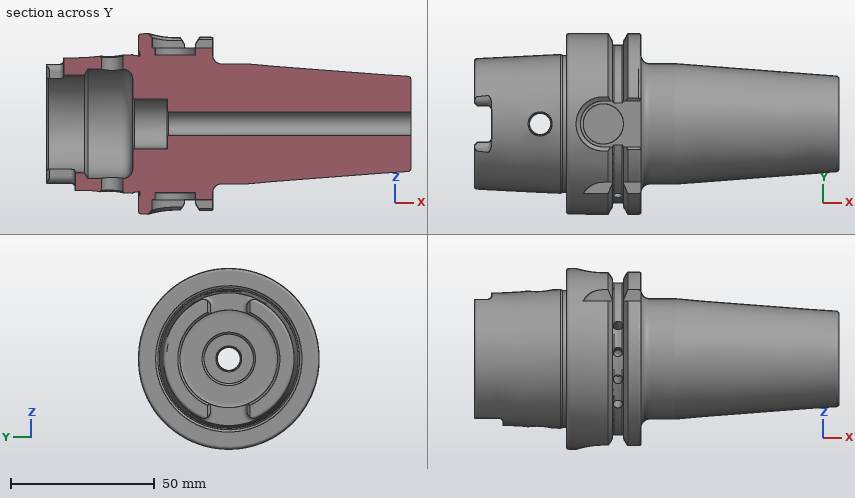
import cadquery as cq
import math


SHANK_LENGTH = 32.0
SHANK_TAPER = 1 / 9.98
GAUGE_RADIUS = 24.0
GAUGE_X = -6.3
TAPER_END_X = -2.1
RELIEF_RADIUS = 23.9
RELIEF_START_X = -1.3
RELIEF_END_X = -0.5
RECESS_DEPTH = 0.5
RECESS_INNER_RADIUS = 23.6
RECESS_FLOOR_RADIUS = 24.7
RECESS_MOUTH_RADIUS = 25.5
SHANK_END_FILLET = 1.0

FLANGE_RADIUS = 31.5
FLANGE_WIDTH = 26.0
FLANGE_FRONT_FILLET = 1.0
FLANGE_BACK_FILLET = 0.8
GROOVE_X = 18.0
GROOVE_RADIUS = 27.5
GROOVE_TOP_HALF = 3.45
GROOVE_WALL_HALF = 1.9
GROOVE_CONE_ANGLE = 30.0
GROOVE_FLOOR_FILLET = 0.5

NECK_RADIUS = 21.0
NECK_FILLET = 3.0
NECK_END_X = 38.0
NOSE_END_X = 95.0
NOSE_END_RADIUS = 16.6
NOSE_END_FILLET = 1.0

BORE_RADIUS = 17.0
BORE_MOUTH_CHAMFER = 0.8
BORE_FLOOR_X = -2.0
BORE_FLOOR_FILLET = 3.4
CLAMP_START_X = -18.7
CLAMP_RADIUS = 19.0
CLAMP_ANGLE = 60.0
TUBE_SEAT_RADIUS = 8.6
TUBE_SEAT_CHAMFER = 0.7
TUBE_SEAT_DEPTH = 12.0
THROUGH_RADIUS = 4.0
THROUGH_CHAMFER = 0.5

SLOT_HALF_WIDTH = 6.3
SLOT_WALL_HEIGHT = 18.2
SLOT_SHOULDER_RADIUS = 2.5
SLOT_FLOOR_FILLET = 1.5
SLOT_MOUTH_CHAMFER = 1.1
TOP_SLOT_DEPTH = 6.0
BOTTOM_SLOT_DEPTH = 10.0

ACCESS_X = -9.1
ACCESS_RADIUS = 3.7
ACCESS_CHAMFER = 0.5

POCKET_X = 12.9
POCKET_RADIUS = 8.0
POCKET_FLOOR_Z = 26.5
POCKET_FRONT_CHAMFER = 1.5
POCKET_BACK_CHAMFER = 1.0
POCKET_DIMPLE_RADIUS = 7.0
POCKET_DIMPLE_DEPTH = 2.5

NOTCH_X = 12.8
NOTCH_WALL_Y = -20.3
NOTCH_FLOOR_Z = 20.1
NOTCH_RADIUS = 8.0

BALANCE_ANGLES = (25, 5, -15, -35)
BALANCE_RADIUS = 1.6
BALANCE_DEPTH = 10.0
DRILL_TIP_ANGLE = 118.0

CLEARANCE = 10.0

FILLET_MID = 1 - math.sqrt(0.5)


def taper_radius(x):
    return GAUGE_RADIUS + (x - GAUGE_X) * SHANK_TAPER / 2


def revolve_about_x(profile):
    return profile.close().revolve(360, (0, 0, 0), (1, 0, 0))


def outer_body():
    end_x = -SHANK_LENGTH
    rim_radius = taper_radius(end_x + SHANK_END_FILLET)
    nose_slope = (NECK_RADIUS - NOSE_END_RADIUS) / (NOSE_END_X - NECK_END_X)
    nose_edge_x = NOSE_END_X - NOSE_END_FILLET
    nose_edge_radius = NOSE_END_RADIUS + NOSE_END_FILLET * nose_slope
    flange_edge_x = FLANGE_WIDTH - FLANGE_BACK_FILLET
    neck_start_x = FLANGE_WIDTH + NECK_FILLET
    profile = (
        cq.Workplane("XY")
        .moveTo(end_x, 0)
        .lineTo(end_x, rim_radius - SHANK_END_FILLET)
        .threePointArc(
            (end_x + SHANK_END_FILLET * FILLET_MID, rim_radius - SHANK_END_FILLET * FILLET_MID),
            (end_x + SHANK_END_FILLET, rim_radius),
        )
        .lineTo(TAPER_END_X, taper_radius(TAPER_END_X))
        .lineTo(RELIEF_START_X, RELIEF_RADIUS)
        .lineTo(RELIEF_END_X, RELIEF_RADIUS)
        .lineTo(RECESS_DEPTH, RECESS_INNER_RADIUS)
        .lineTo(RECESS_DEPTH, RECESS_FLOOR_RADIUS)
        .lineTo(0, RECESS_MOUTH_RADIUS)
        .lineTo(0, FLANGE_RADIUS - FLANGE_FRONT_FILLET)
        .threePointArc(
            (FLANGE_FRONT_FILLET * FILLET_MID, FLANGE_RADIUS - FLANGE_FRONT_FILLET * FILLET_MID),
            (FLANGE_FRONT_FILLET, FLANGE_RADIUS),
        )
        .lineTo(flange_edge_x, FLANGE_RADIUS)
        .threePointArc(
            (FLANGE_WIDTH - FLANGE_BACK_FILLET * FILLET_MID, FLANGE_RADIUS - FLANGE_BACK_FILLET * FILLET_MID),
            (FLANGE_WIDTH, FLANGE_RADIUS - FLANGE_BACK_FILLET),
        )
        .lineTo(FLANGE_WIDTH, NECK_RADIUS + NECK_FILLET)
        .threePointArc(
            (FLANGE_WIDTH + NECK_FILLET * FILLET_MID, NECK_RADIUS + NECK_FILLET * FILLET_MID),
            (neck_start_x, NECK_RADIUS),
        )
        .lineTo(NECK_END_X, NECK_RADIUS)
        .lineTo(nose_edge_x, nose_edge_radius)
        .threePointArc(
            (NOSE_END_X - NOSE_END_FILLET * FILLET_MID, NOSE_END_RADIUS - NOSE_END_FILLET * FILLET_MID),
            (NOSE_END_X, NOSE_END_RADIUS - NOSE_END_FILLET),
        )
        .lineTo(NOSE_END_X, 0)
    )
    return revolve_about_x(profile)


def gripper_groove():
    """Ring cut into the flange rim: straight walls with rounded corners, conical flanks above."""
    slope = math.tan(math.radians(GROOVE_CONE_ANGLE))
    wall_top_radius = FLANGE_RADIUS - (GROOVE_TOP_HALF - GROOVE_WALL_HALF) / slope
    outer_half = GROOVE_TOP_HALF + CLEARANCE * slope
    floor_half = GROOVE_WALL_HALF - GROOVE_FLOOR_FILLET
    corner_half = GROOVE_WALL_HALF - GROOVE_FLOOR_FILLET * FILLET_MID
    corner_radius = GROOVE_RADIUS + GROOVE_FLOOR_FILLET * FILLET_MID
    fillet_top_radius = GROOVE_RADIUS + GROOVE_FLOOR_FILLET
    profile = (
        cq.Workplane("XY", origin=(GROOVE_X, 0, 0))
        .moveTo(-floor_half, GROOVE_RADIUS)
        .lineTo(floor_half, GROOVE_RADIUS)
        .threePointArc((corner_half, corner_radius), (GROOVE_WALL_HALF, fillet_top_radius))
        .lineTo(GROOVE_WALL_HALF, wall_top_radius)
        .lineTo(outer_half, FLANGE_RADIUS + CLEARANCE)
        .lineTo(-outer_half, FLANGE_RADIUS + CLEARANCE)
        .lineTo(-GROOVE_WALL_HALF, wall_top_radius)
        .lineTo(-GROOVE_WALL_HALF, fillet_top_radius)
        .threePointArc((-corner_half, corner_radius), (-floor_half, GROOVE_RADIUS))
    )
    return revolve_about_x(profile)


def inner_bores():
    """Clamping bore with undercut, coolant tube seat and through hole, as one cutter."""
    end_x = -SHANK_LENGTH
    clamp_end_x = CLAMP_START_X + (CLAMP_RADIUS - BORE_RADIUS) / math.tan(math.radians(CLAMP_ANGLE))
    floor_corner = BORE_FLOOR_FILLET * FILLET_MID
    seat_floor_x = BORE_FLOOR_X + TUBE_SEAT_DEPTH
    profile = (
        cq.Workplane("XY")
        .moveTo(end_x, 0)
        .lineTo(end_x, BORE_RADIUS + BORE_MOUTH_CHAMFER)
        .lineTo(end_x + BORE_MOUTH_CHAMFER, BORE_RADIUS)
        .lineTo(CLAMP_START_X, BORE_RADIUS)
        .lineTo(clamp_end_x, CLAMP_RADIUS)
        .lineTo(BORE_FLOOR_X - BORE_FLOOR_FILLET, CLAMP_RADIUS)
        .threePointArc(
            (BORE_FLOOR_X - floor_corner, CLAMP_RADIUS - floor_corner),
            (BORE_FLOOR_X, CLAMP_RADIUS - BORE_FLOOR_FILLET),
        )
        .lineTo(BORE_FLOOR_X, TUBE_SEAT_RADIUS + TUBE_SEAT_CHAMFER)
        .lineTo(BORE_FLOOR_X + TUBE_SEAT_CHAMFER, TUBE_SEAT_RADIUS)
        .lineTo(seat_floor_x, TUBE_SEAT_RADIUS)
        .lineTo(seat_floor_x, THROUGH_RADIUS + THROUGH_CHAMFER)
        .lineTo(seat_floor_x + THROUGH_CHAMFER, THROUGH_RADIUS)
        .lineTo(NOSE_END_X, THROUGH_RADIUS)
        .lineTo(NOSE_END_X, 0)
    )
    return revolve_about_x(profile)


def plain_slot(depth):
    """Slot on the +Z side of the shank end, opening above its walls to a flat shoulder."""
    shoulder_y = SLOT_HALF_WIDTH + SLOT_SHOULDER_RADIUS
    shoulder_z = SLOT_WALL_HEIGHT + SLOT_SHOULDER_RADIUS
    arc_mid_y = SLOT_HALF_WIDTH + SLOT_SHOULDER_RADIUS * FILLET_MID
    arc_mid_z = SLOT_WALL_HEIGHT + SLOT_SHOULDER_RADIUS * math.sqrt(0.5)
    return (
        cq.Workplane("YZ", origin=(-SHANK_LENGTH, 0, 0))
        .moveTo(-SLOT_HALF_WIDTH, 0)
        .lineTo(-SLOT_HALF_WIDTH, SLOT_WALL_HEIGHT)
        .threePointArc((-arc_mid_y, arc_mid_z), (-shoulder_y, shoulder_z))
        .lineTo(-FLANGE_RADIUS, shoulder_z)
        .lineTo(-FLANGE_RADIUS, FLANGE_RADIUS)
        .lineTo(FLANGE_RADIUS, FLANGE_RADIUS)
        .lineTo(FLANGE_RADIUS, shoulder_z)
        .lineTo(shoulder_y, shoulder_z)
        .threePointArc((arc_mid_y, arc_mid_z), (SLOT_HALF_WIDTH, SLOT_WALL_HEIGHT))
        .lineTo(SLOT_HALF_WIDTH, 0)
        .close()
        .extrude(depth)
        .faces(">X")
        .edges("not(>Z or <Z or <Y or >Y)")
        .fillet(SLOT_FLOOR_FILLET)
    )


def drive_slot(depth):
    """Cutter for one drive slot, its mouth widened by flat chamfers at the shank end."""
    end_x = -SHANK_LENGTH
    mouth_half_width = SLOT_HALF_WIDTH + SLOT_MOUTH_CHAMFER
    mouth = (
        cq.Workplane("XY")
        .moveTo(end_x, -mouth_half_width)
        .lineTo(end_x, mouth_half_width)
        .lineTo(end_x + SLOT_MOUTH_CHAMFER, SLOT_HALF_WIDTH)
        .lineTo(end_x + SLOT_MOUTH_CHAMFER, -SLOT_HALF_WIDTH)
        .close()
        .extrude(FLANGE_RADIUS)
    )
    return plain_slot(depth).union(mouth)


def flip(shape):
    """Turn a cutter from the +Z side to the -Z side."""
    return shape.rotate((0, 0, 0), (1, 0, 0), 180)


def access_hole():
    hole = cq.Workplane("XY", origin=(ACCESS_X, 0, 0)).circle(ACCESS_RADIUS)
    return hole.extrude(FLANGE_RADIUS, both=True)


def drive_pocket():
    """Cutter for a drive pocket, round at the front and open at the back, with a round dimple."""
    back_x = FLANGE_WIDTH + CLEARANCE - POCKET_X
    pocket = (
        cq.Workplane("XY", origin=(POCKET_X, 0, POCKET_FLOOR_Z))
        .moveTo(0, POCKET_RADIUS)
        .threePointArc((-POCKET_RADIUS, 0), (0, -POCKET_RADIUS))
        .lineTo(back_x, -POCKET_RADIUS)
        .lineTo(back_x, POCKET_RADIUS)
        .close()
        .extrude(CLEARANCE)
    )
    dimple = cq.Workplane("XY", origin=(POCKET_X, 0, POCKET_FLOOR_Z - POCKET_DIMPLE_DEPTH))
    return pocket.union(dimple.circle(POCKET_DIMPLE_RADIUS).extrude(CLEARANCE))


def orientation_notch():
    """Cutter for the notch milled from above into the -Y side of the flange."""
    center_y = NOTCH_WALL_Y - NOTCH_RADIUS
    back_x = FLANGE_WIDTH + CLEARANCE
    return (
        cq.Workplane("XY", origin=(0, 0, NOTCH_FLOOR_Z))
        .moveTo(NOTCH_X, NOTCH_WALL_Y)
        .threePointArc((NOTCH_X - NOTCH_RADIUS, center_y), (NOTCH_X, center_y - NOTCH_RADIUS))
        .lineTo(back_x, center_y - NOTCH_RADIUS)
        .lineTo(back_x, NOTCH_WALL_Y)
        .close()
        .extrude(CLEARANCE)
    )


def balance_hole(angle):
    """Radial blind hole with a drill tip, in the groove on the -Y side."""
    tip = BALANCE_RADIUS / math.tan(math.radians(DRILL_TIP_ANGLE / 2))
    bottom = GROOVE_RADIUS - BALANCE_DEPTH
    return (
        cq.Workplane("XY", origin=(GROOVE_X, 0, 0))
        .moveTo(0, -bottom + tip)
        .lineTo(BALANCE_RADIUS, -bottom)
        .lineTo(BALANCE_RADIUS, -GROOVE_RADIUS - 1)
        .lineTo(0, -GROOVE_RADIUS - 1)
        .close()
        .revolve(360, (0, 0, 0), (0, 1, 0))
        .rotate((0, 0, 0), (1, 0, 0), -angle)
    )


def edges_above_and_below(body, x_range, z_range, half_width):
    """Edges centred in a box on the +Z side or in its mirror image on the -Z side."""
    x_low, x_high = x_range
    z_low, z_high = z_range
    upper = cq.selectors.BoxSelector((x_low, -half_width, z_low), (x_high, half_width, z_high))
    lower = cq.selectors.BoxSelector((x_low, -half_width, -z_high), (x_high, half_width, -z_low))
    return body.edges(upper + lower)


def cut_access_hole(body):
    drilled = body.cut(access_hole())
    reach = ACCESS_RADIUS + 1
    x_range = (ACCESS_X - reach, ACCESS_X + reach)
    rims = edges_above_and_below(drilled, x_range, (CLAMP_RADIUS + 1, FLANGE_RADIUS), reach)
    return rims.chamfer(ACCESS_CHAMFER)


def pockets(x_low, x_high, chamfer):
    """Cutter for both drive pockets with bevelled rims, between two stations of the flange."""
    disc = cq.Workplane("YZ", origin=(x_low, 0, 0)).circle(FLANGE_RADIUS).extrude(x_high - x_low)
    pocketed = disc.cut(drive_pocket()).cut(flip(drive_pocket()))
    margin = 0.1
    x_range = (x_low + margin, x_high - margin)
    z_range = (POCKET_FLOOR_Z + 1, FLANGE_RADIUS + 1)
    rims = edges_above_and_below(pocketed, x_range, z_range, POCKET_RADIUS + 1)
    return disc.cut(rims.chamfer(chamfer))


def cut_drive_pockets(body):
    front = pockets(FLANGE_FRONT_FILLET, GROOVE_X, POCKET_FRONT_CHAMFER)
    back = pockets(GROOVE_X, FLANGE_WIDTH, POCKET_BACK_CHAMFER)
    return body.cut(front).cut(back)


result = outer_body().cut(inner_bores())
result = result.cut(drive_slot(TOP_SLOT_DEPTH)).cut(flip(drive_slot(BOTTOM_SLOT_DEPTH)))
result = cut_access_hole(result)
result = result.cut(gripper_groove())
result = cut_drive_pockets(result)
result = result.cut(orientation_notch())
for balance_angle in BALANCE_ANGLES:
    result = result.cut(balance_hole(balance_angle))